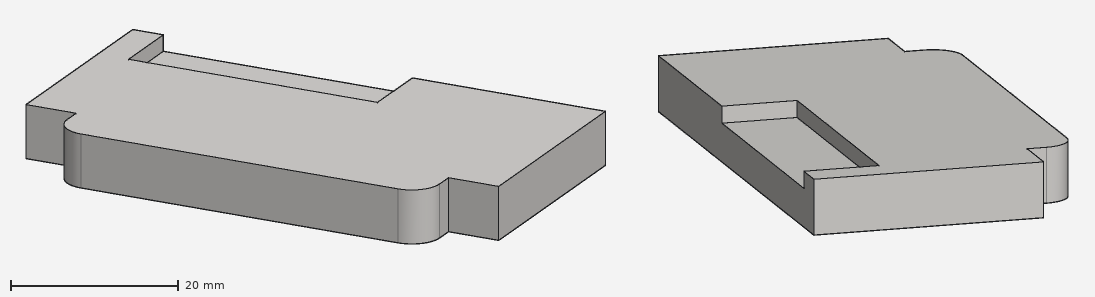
import cadquery as cq

length = 63.06
width = 34.83
thickness = 6.9

tongue_depth = 6.1
shoulder_width = 6.7
corner_radius = 3.7

pocket_left = 4.1
pocket_length = 33.2
pocket_width = 9.4
pocket_depth = 2.1


def make_plate():
    body = cq.Workplane("XY").box(
        length, width - tongue_depth, thickness, centered=False
    )
    return body.translate((0, tongue_depth, 0))


def make_tongue():
    tongue = cq.Workplane("XY").box(
        length - 2 * shoulder_width, width, thickness, centered=False
    )
    tongue = tongue.edges("|Z and <Y").fillet(corner_radius)
    return tongue.translate((shoulder_width, 0, 0))


def make_pocket():
    pocket = cq.Workplane("XY").box(
        pocket_length, pocket_width, pocket_depth, centered=False
    )
    return pocket.translate((pocket_left, width - pocket_width, thickness - pocket_depth))


result = make_plate().union(make_tongue()).cut(make_pocket())